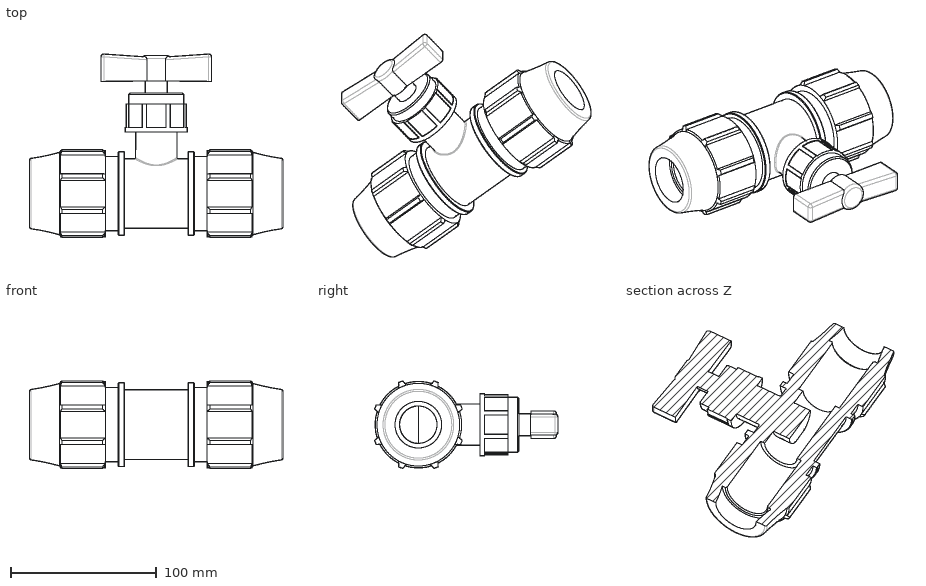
import cadquery as cq
import math

half_length = 87.0
body_radius = 48.0 / 2
collar_radius = 51.2 / 2
flange_radius = 57.6 / 2
flange_inner_x = 21.7
flange_outer_x = 26.1
flange_chamfer = 0.5
bore_radius = 25.6 / 2
socket_radius = 32.0 / 2
socket_stop_x = flange_outer_x

cavity_depth = 14.5
cavity_end_radius = 19.2
cavity_bow = 0.3
socket_lead_in = 1.0

nut_inner_x = 34.9
nut_shoulder_x = 66.3
nut_radius = 29.75
nut_bevel = 0.7
nose_root_radius = 28.4
nose_end_radius = 24.1
nose_hollow = 0.4
nose_rounding = 1.3

rib_count = 8
rib_pitch = 360.0 / rib_count
rib_tip_radius = 31.95
rib_base_radius = nose_root_radius
rib_tip_width = 3.1
rib_base_width = 5.7
rib_inner_slope = 2.0
rib_outer_slope = 1.5

branch_radius = 28.5 / 2
branch_root_fillet = 0.7
bonnet_start_y = 42.2
bonnet_rim_y = 45.4
bonnet_end_y = 61.6
bonnet_radius = 42.75 / 2
cap_radius = 38.0 / 2
cap_end_y = 69.05
cap_chamfer = 1.0
stem_radius = 15.2 / 2

panel_count = 8
panel_pitch = 360.0 / panel_count
panel_angle = 36.5
panel_depth = 0.55

handle_length = 76.0
handle_thickness = 14.4
handle_tip_y = 96.0
handle_waist_y = 93.4
handle_base_tip_y = 76.9
handle_base_y = 77.25
handle_rounding = 2.0
hub_radius = 9.55
hub_end_y = 94.8
hub_rounding = 2.0


def y_cylinder(radius, start_y, end_y):
    """Cylinder about the Y axis between two Y positions."""
    plane = cq.Plane(origin=(0, start_y, 0), xDir=(1, 0, 0), normal=(0, 1, 0))
    return cq.Workplane(plane).circle(radius).extrude(end_y - start_y)


def x_tube(radius, start_x, end_x):
    """Cylinder about the X axis between two X positions."""
    return cq.Workplane("YZ", origin=(start_x, 0, 0)).circle(radius).extrude(end_x - start_x)


def make_rib():
    """One nut rib on top of the +X nut: tapered section with sloped ends."""
    section = (
        cq.Workplane("YZ", origin=(nut_inner_x, 0, 0))
        .moveTo(-rib_base_width / 2, rib_base_radius)
        .lineTo(-rib_tip_width / 2, rib_tip_radius)
        .lineTo(rib_tip_width / 2, rib_tip_radius)
        .lineTo(rib_base_width / 2, rib_base_radius)
        .close()
        .extrude(nut_shoulder_x - nut_inner_x)
    )
    side_profile = (
        cq.Workplane("XZ")
        .moveTo(nut_inner_x, rib_base_radius)
        .lineTo(nut_inner_x, nut_radius)
        .lineTo(nut_inner_x + rib_inner_slope, rib_tip_radius)
        .lineTo(nut_shoulder_x - rib_outer_slope, rib_tip_radius)
        .lineTo(nut_shoulder_x, rib_base_radius)
        .close()
        .extrude(rib_base_width / 2, both=True)
    )
    return section.intersect(side_profile)


def make_nut():
    """Compression nut at the +X end, with its hollow-curved nose and ribs."""
    nose_middle = (
        (nut_shoulder_x + half_length) / 2,
        (nose_root_radius + nose_end_radius) / 2 - nose_hollow,
    )
    nut = (
        cq.Workplane("XY")
        .moveTo(nut_inner_x, 0)
        .lineTo(nut_inner_x, nut_radius)
        .lineTo(nut_shoulder_x - nut_bevel, nut_radius)
        .lineTo(nut_shoulder_x, nose_root_radius)
        .threePointArc(nose_middle, (half_length, nose_end_radius))
        .lineTo(half_length, 0)
        .close()
        .revolve(360, (0, 0, 0), (1, 0, 0))
        .faces(">X")
        .edges()
        .fillet(nose_rounding)
    )
    rib = make_rib()
    for index in range(rib_count):
        nut = nut.union(rib.rotate((0, 0, 0), (1, 0, 0), (index + 0.5) * rib_pitch))
    return nut


def make_socket():
    """Space at the +X end: cavity flaring inward from the mouth, lead-in and pipe socket."""
    cavity_end_x = half_length - cavity_depth
    cavity_middle = (
        half_length - cavity_depth / 2,
        (socket_radius + cavity_end_radius) / 2 - cavity_bow,
    )
    return (
        cq.Workplane("XY")
        .moveTo(half_length, 0)
        .lineTo(half_length, socket_radius)
        .threePointArc(cavity_middle, (cavity_end_x, cavity_end_radius))
        .lineTo(cavity_end_x, socket_radius + socket_lead_in)
        .lineTo(cavity_end_x - socket_lead_in, socket_radius)
        .lineTo(socket_stop_x, socket_radius)
        .lineTo(socket_stop_x, 0)
        .close()
        .revolve(360, (0, 0, 0), (1, 0, 0))
    )


def make_run():
    """Run pipe with collars, flanges, nuts, pipe sockets and the through bore."""
    run = x_tube(body_radius, -nut_inner_x, nut_inner_x)
    flange = x_tube(flange_radius, flange_inner_x, flange_outer_x).edges().chamfer(flange_chamfer)
    right_half = (
        flange
        .union(x_tube(collar_radius, flange_outer_x, nut_inner_x))
        .union(make_nut())
    )
    socket = make_socket()
    run = run.union(right_half).union(right_half.mirror("YZ"))
    run = run.cut(socket).cut(socket.mirror("YZ"))
    return run.cut(x_tube(bore_radius, -half_length, half_length))


def make_bonnet():
    """Bonnet ring with recessed panels, open toward the cap side."""
    bonnet = y_cylinder(bonnet_radius, bonnet_start_y, bonnet_end_y)
    half_angle = math.radians(panel_angle / 2)
    reach = 2 * bonnet_radius
    wedge = (
        cq.Workplane("XZ", origin=(0, bonnet_rim_y, 0))
        .moveTo(0, 0)
        .lineTo(-reach * math.sin(half_angle), reach * math.cos(half_angle))
        .lineTo(reach * math.sin(half_angle), reach * math.cos(half_angle))
        .close()
        .extrude(bonnet_rim_y - bonnet_end_y)
    )
    core = y_cylinder(bonnet_radius - panel_depth, bonnet_rim_y, bonnet_end_y)
    panel = wedge.cut(core)
    for index in range(panel_count):
        bonnet = bonnet.cut(panel.rotate((0, 0, 0), (0, 1, 0), index * panel_pitch))
    return bonnet


def make_handle():
    """Tee handle: a bar swept up toward its tips, and a round hub."""
    half_bar = handle_length / 2
    bar = (
        cq.Workplane("XY")
        .moveTo(-half_bar, handle_base_tip_y)
        .lineTo(0, handle_base_y)
        .lineTo(half_bar, handle_base_tip_y)
        .lineTo(half_bar, handle_tip_y)
        .lineTo(0, handle_waist_y)
        .lineTo(-half_bar, handle_tip_y)
        .close()
        .extrude(handle_thickness / 2, both=True)
    )
    middle_y = (handle_base_y + handle_waist_y) / 2
    upper_region = cq.selectors.BoxSelector(
        (-handle_length, middle_y, -handle_thickness),
        (handle_length, 2 * handle_tip_y, handle_thickness),
    )
    bar = bar.edges(cq.selectors.StringSyntaxSelector("|Y") + upper_region).fillet(handle_rounding)
    hub = y_cylinder(hub_radius, handle_base_y, hub_end_y).faces(">Y").edges().fillet(hub_rounding)
    return bar.union(hub)


def make_branch():
    """Valve branch; its plug closes the +Y half of the run bore."""
    cap = y_cylinder(cap_radius, bonnet_end_y, cap_end_y).faces(">Y").edges().chamfer(cap_chamfer)
    return (
        y_cylinder(branch_radius, 0, bonnet_start_y)
        .union(make_bonnet())
        .union(cap)
        .union(y_cylinder(stem_radius, cap_end_y, handle_base_y))
        .union(make_handle())
    )


def blend_branch_root(fitting):
    """Small fillet where the branch meets the run pipe."""
    root_region = cq.selectors.BoxSelector(
        (-branch_radius, body_radius / 2, -branch_radius),
        (branch_radius, body_radius + branch_root_fillet, branch_radius),
        boundingbox=False,
    )
    root_edges = fitting.edges(root_region - cq.selectors.StringSyntaxSelector("|Y"))
    return root_edges.fillet(branch_root_fillet)


result = blend_branch_root(make_run().union(make_branch()))